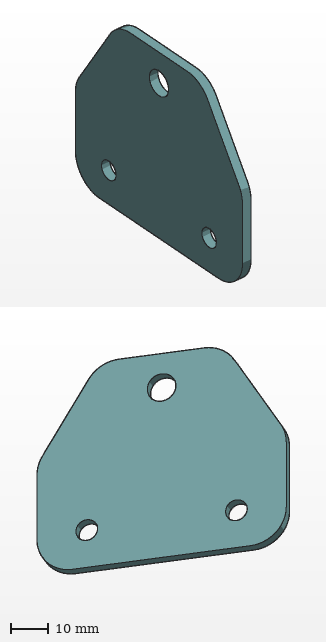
import cadquery as cq

width = 70.0
height = 60.0
thickness = 3.0
top_edge_width = width / 2
side_edge_height = 32.0
corner_radius = 10.0

top_hole_diameter = 8.0
top_hole_drop = 10.0
bottom_hole_diameter = 6.0
bottom_hole_spacing = 42.0
bottom_hole_height = 11.0


def make_plate():
    """Flat plate tapering towards the top, with all six corners rounded."""
    outline = [
        (-width / 2, 0),
        (width / 2, 0),
        (width / 2, side_edge_height),
        (top_edge_width / 2, height),
        (-top_edge_width / 2, height),
        (-width / 2, side_edge_height),
    ]
    plate = cq.Workplane("XZ").polyline(outline).close().extrude(thickness)
    return plate.edges("|Y").fillet(corner_radius)


def make_hole_pins(diameter, centers):
    """Cylinders that pass through the whole plate at the given X, Z centers."""
    return cq.Workplane("XZ").pushPoints(centers).circle(diameter / 2).extrude(thickness)


top_centers = [(0, height - top_hole_drop)]
bottom_centers = [(side * bottom_hole_spacing / 2, bottom_hole_height) for side in (-1, 1)]

result = (
    make_plate()
    .cut(make_hole_pins(top_hole_diameter, top_centers))
    .cut(make_hole_pins(bottom_hole_diameter, bottom_centers))
)